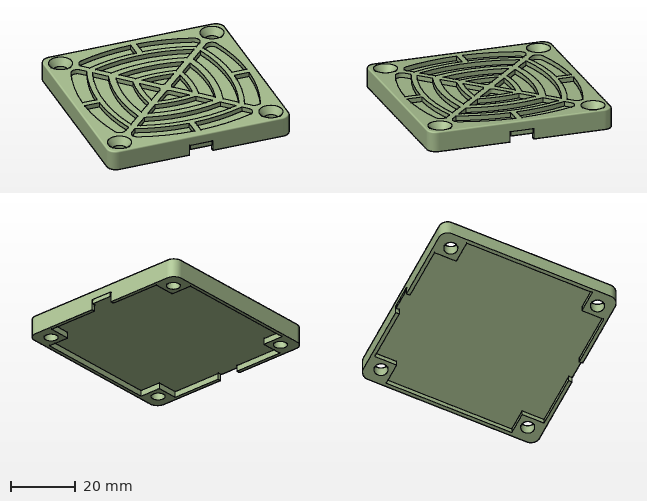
import cadquery as cq
import math

SIDE = 60.2
HEIGHT = 6.5
CORNER_RADIUS = 3.0
TOP_EDGE_RADIUS = 0.5
WALL = 1.2

RETAINER_BOTTOM = 2.0
RETAINER_TOP = 3.5
GRILLE_THICKNESS = 1.5
GRILLE_BOTTOM = HEIGHT - GRILLE_THICKNESS

SCREW_SPACING = 50.1
SCREW_DIAMETER = 4.35
SINK_DIAMETER = 7.45
SINK_DEPTH = 2.4
BLOCK_MARGIN = 3.6

NOTCH_WIDTH = 7.7
TAB_GAP = 0.25
TAB_WIDTH = NOTCH_WIDTH - 2 * TAB_GAP

ARC_CENTRE_DROP = SIDE / 2
DIAGONAL_RIB = 2.15
CROSS_RIB = 2.0
RING_SLOTS = [(8.85, 13.6), (15.85, 20.6)]
OUTER_SLOT = (22.35, 27.2)
CENTRE_SLOT_REACH = 7.1
OUTER_SLOT_FILLET = 2.0
CENTRE_SLOT_FILLET = 1.0
SECTOR_ANGLES = [0, 90, 180, 270]

INSIDE = SIDE - 2 * WALL
BLOCK_START = SCREW_SPACING / 2 - BLOCK_MARGIN
BLOCK_SIZE = INSIDE / 2 - BLOCK_START
RIB_SHIFT = DIAGONAL_RIB / math.sqrt(2)


def cavity_layer(bottom, top):
    """A square plate filling the cover's cavity, with its corners cut out round the blocks."""
    plate = cq.Workplane("XY").workplane(offset=bottom).rect(INSIDE, INSIDE).extrude(top - bottom)
    block_centre = BLOCK_START + BLOCK_SIZE / 2
    blocks = (
        cq.Workplane("XY")
        .workplane(offset=bottom)
        .rect(2 * block_centre, 2 * block_centre, forConstruction=True)
        .vertices()
        .rect(BLOCK_SIZE, BLOCK_SIZE)
        .extrude(top - bottom)
    )
    return plate.cut(blocks)


def side_bar(width, bottom, top):
    """A bar along X through the whole cover, as wide as a notch or tab."""
    return cq.Workplane("XY").workplane(offset=bottom).rect(SIDE, width).extrude(top - bottom)


def arc_corner(reach):
    """Where the arc at this reach meets the right-hand edge of the +Y sector."""
    radius = ARC_CENTRE_DROP + reach
    lift = ARC_CENTRE_DROP + RIB_SHIFT
    x = (math.sqrt(2 * radius**2 - lift**2) - lift) / 2
    return x, x + RIB_SHIFT


def ring_slot(inner, outer):
    """Slot of the +Y sector between two arcs."""
    inner_x, inner_y = arc_corner(inner)
    outer_x, outer_y = arc_corner(outer)
    return (
        cq.Workplane("XY")
        .workplane(offset=GRILLE_BOTTOM)
        .moveTo(-inner_x, inner_y)
        .threePointArc((0, inner), (inner_x, inner_y))
        .lineTo(outer_x, outer_y)
        .threePointArc((0, outer), (-outer_x, outer_y))
        .close()
        .extrude(GRILLE_THICKNESS)
    )


def outer_slots():
    """Outermost slot of the +Y sector, rounded at its ends and split by a cross rib."""
    slot = ring_slot(*OUTER_SLOT).edges("|Z and (>X or <X)").fillet(OUTER_SLOT_FILLET)
    rib = cq.Workplane("XY").workplane(offset=GRILLE_BOTTOM).rect(CROSS_RIB, SIDE).extrude(GRILLE_THICKNESS)
    return slot.cut(rib)


def centre_slot():
    """Innermost slot of the +Y sector, a triangle with a rounded tip and an arc for its base."""
    corner_x, corner_y = arc_corner(CENTRE_SLOT_REACH)
    return (
        cq.Workplane("XY")
        .workplane(offset=GRILLE_BOTTOM)
        .moveTo(0, RIB_SHIFT)
        .lineTo(corner_x, corner_y)
        .threePointArc((0, CENTRE_SLOT_REACH), (-corner_x, corner_y))
        .close()
        .extrude(GRILLE_THICKNESS)
        .edges("|Z and <Y")
        .fillet(CENTRE_SLOT_FILLET)
    )


def screw_holes():
    """Countersunk through holes at the four corners, each a profile turned about its axis."""
    hole_radius = SCREW_DIAMETER / 2
    sink_radius = SINK_DIAMETER / 2
    hole = (
        cq.Workplane("XZ")
        .polyline(
            [
                (0, 0),
                (-hole_radius, 0),
                (-hole_radius, HEIGHT - SINK_DEPTH),
                (-sink_radius, HEIGHT),
                (0, HEIGHT),
            ]
        )
        .close()
        .revolve(360, (0, 0, 0), (0, 1, 0))
        .val()
    )
    corners = cq.Workplane("XY").rect(SCREW_SPACING, SCREW_SPACING, forConstruction=True).vertices()
    return corners.eachpoint(hole)


def make_cover():
    """Shell with a slotted top, notched -X and +X walls and four countersunk corners."""
    cover = (
        cq.Workplane("XY")
        .rect(SIDE, SIDE)
        .extrude(HEIGHT)
        .edges("|Z")
        .fillet(CORNER_RADIUS)
        .faces(">Z")
        .edges()
        .fillet(TOP_EDGE_RADIUS)
    )
    cover = cover.cut(cavity_layer(0, GRILLE_BOTTOM))
    cover = cover.cut(side_bar(NOTCH_WIDTH, 0, RETAINER_TOP))

    slots = [outer_slots(), centre_slot()]
    for inner, outer in RING_SLOTS:
        slots.append(ring_slot(inner, outer))
    for angle in SECTOR_ANGLES:
        for slot in slots:
            cover = cover.cut(slot.rotate((0, 0, 0), (0, 0, 1), angle))

    return cover.cut(screw_holes())


def make_filter_pad():
    """Pad held between the grille and the retainer."""
    return cavity_layer(RETAINER_TOP, GRILLE_BOTTOM)


def make_retainer():
    """Plate below the pad with a tab reaching flush into each notch."""
    tabs = side_bar(TAB_WIDTH, RETAINER_BOTTOM, RETAINER_TOP)
    return cavity_layer(RETAINER_BOTTOM, RETAINER_TOP).union(tabs)


cover = make_cover()
filter_pad = make_filter_pad()
retainer = make_retainer()

result = cq.Compound.makeCompound([cover.val(), filter_pad.val(), retainer.val()])